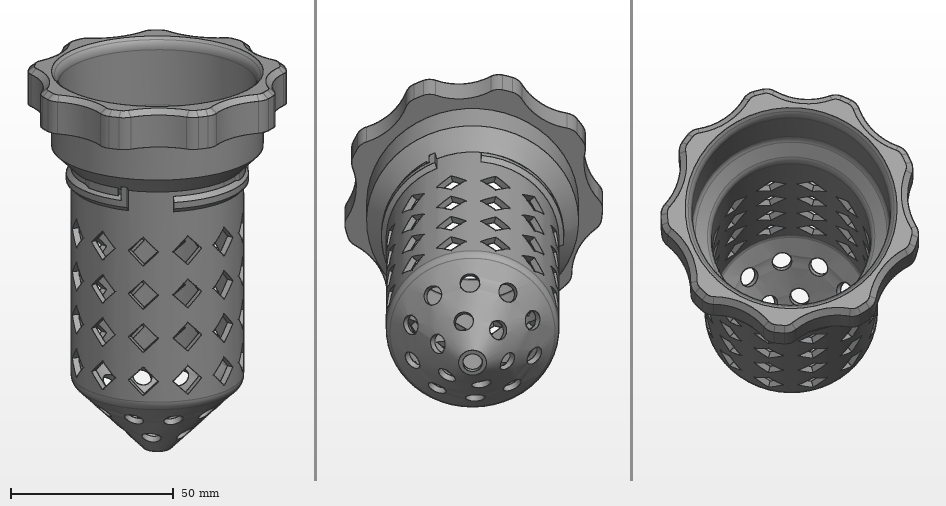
import cadquery as cq
import math

height = 122.3
wall = 2.0

flange_radius = 40.0
flange_depth = 12.0
flange_chamfer_depth = 2.0
flange_chamfer_width = 1.6
lobe_count = 9
first_lobe_angle = 90.0
scallop_radius = 20.0
scallop_floor = 36.0
lobe_rounding = 5.0

neck_radius = 32.5
body_radius = 26.5
neck_bottom = height - 24.0
taper_bottom = neck_bottom - (neck_radius - body_radius)
cone_top = 22.3
tip_radius = body_radius - cone_top
tip_hole_diameter = 6.0
cone_bend = 4.0

neck_bore = 30.5
body_bore = 24.5
bore_taper_top = 99.2
bore_taper_bottom = 93.9
cone_bore_bend = 1.5
body_bore_bend = 3.7
neck_bore_bend = 3.0
mouth_chamfer = neck_radius - neck_bore
mouth_bend = 4.0

lug_count = 3
lug_start = 80.0
lug_sweep = 90.0
lug_radius = 28.0
lug_top = 90.7
lug_height = 5.0
lug_depth = lug_radius - body_radius
stop_sweep = 4.0
bump_radius = 27.0
bump_ramp_start = 53.0
bump_crest_start = 58.5
bump_crest_end = 83.0

diamond_columns = 12
diamond_rows = 4
diamond_side = 6.6
diamond_pitch = 14.0
diamond_top_row = 72.8

cone_hole_diameter = 6.0
cone_hole_rows = [(10, 19.7), (6, 11.1)]


def polar(radius, degrees):
    angle = math.radians(degrees)
    return (radius * math.cos(angle), radius * math.sin(angle))


def around(shape, count, start=0.0):
    """Copies of a shape spaced evenly about Z."""
    return [shape.rotate((0, 0, 0), (0, 0, 1), start + index * 360 / count) for index in range(count)]


def toward(start, end, distance):
    span = math.dist(start, end)
    return tuple(a + (b - a) * distance / span for a, b in zip(start, end))


def turn_angle(before, corner, after):
    heading_in = math.atan2(corner[1] - before[1], corner[0] - before[0])
    heading_out = math.atan2(after[1] - corner[1], after[0] - corner[0])
    return abs(heading_out - heading_in)


def revolved(outline):
    """Revolve a closed (radius, Z) outline about Z; outline items are (radius, Z, rounding)."""
    points = [item[:2] for item in outline]
    path = cq.Workplane("XZ").moveTo(*points[0])
    roundings = [item[2] for item in outline]
    for before, corner, after, rounding in zip(points, points[1:], points[2:] + points[:1], roundings[1:]):
        if rounding == 0:
            path = path.lineTo(*corner)
            continue
        setback = rounding * math.tan(turn_angle(before, corner, after) / 2)
        path = path.lineTo(*toward(corner, before, setback))
        path = path.tangentArcPoint(toward(corner, after, setback), relative=False)
    return path.close().revolve(360, (0, 0, 0), (0, 1, 0))


def make_shell():
    return revolved([
        (0, 0, 0),
        (tip_radius, 0, 0),
        (body_radius, cone_top, cone_bend),
        (body_radius, taper_bottom, 0),
        (neck_radius, neck_bottom, 0),
        (neck_radius, height, 0),
        (0, height, 0),
    ])


def make_cavity():
    cone_apex = cone_top - body_radius + wall * math.sqrt(2)
    return revolved([
        (0, cone_apex, 0),
        (body_bore, cone_apex + body_bore, cone_bore_bend),
        (body_bore, bore_taper_bottom, body_bore_bend),
        (neck_bore, bore_taper_top, neck_bore_bend),
        (neck_bore, height - mouth_chamfer, mouth_bend),
        (neck_bore + mouth_chamfer, height, 0),
        (0, height, 0),
    ])


def make_flange():
    pitch = 360 / lobe_count
    scallop_distance = scallop_floor + scallop_radius
    scallop_center = polar(scallop_distance, first_lobe_angle + pitch / 2)
    scallop = cq.Workplane("XY").center(*scallop_center).circle(scallop_radius).extrude(flange_depth)
    flange = cq.Workplane("XY").circle(flange_radius).extrude(flange_depth)
    for cutter in around(scallop, lobe_count):
        flange = flange.cut(cutter)
    flange = flange.edges("|Z").fillet(lobe_rounding)
    flange = flange.faces(">Z").chamfer(flange_chamfer_depth, flange_chamfer_width)
    return flange.translate((0, 0, height - flange_depth))


def ring_segment(points, start, sweep):
    """Sweep a (radius, Z) outline about Z, counter-clockwise from the start angle."""
    segment = cq.Workplane("XZ").polyline(points).close().revolve(sweep, (0, 0, 0), (0, 1, 0))
    return segment.rotate((0, 0, 0), (0, 0, 1), start)


def make_lug():
    """A bevelled rail with a stop at its far end and a ramped bump above it."""
    inner = body_radius - wall / 2
    lug_bottom = lug_top - lug_height
    rail = ring_segment([
        (inner, lug_top),
        (body_radius, lug_top),
        (lug_radius, lug_top - lug_depth),
        (lug_radius, lug_bottom + lug_depth),
        (body_radius, lug_bottom),
        (inner, lug_bottom),
    ], 0, lug_sweep)
    stop = ring_segment([
        (inner, taper_bottom),
        (body_radius, taper_bottom),
        (lug_radius, taper_bottom + lug_depth),
        (lug_radius, lug_bottom + lug_depth),
        (inner, lug_bottom + lug_depth),
    ], lug_sweep - stop_sweep, stop_sweep)
    bump_outline = [
        polar(inner, bump_ramp_start),
        polar(body_radius, bump_ramp_start),
        polar(bump_radius, bump_crest_start),
    ]
    bump_rise = bump_radius - body_radius
    bump_bottom = lug_top - lug_depth
    bump = (
        cq.Workplane("XY", origin=(0, 0, bump_bottom))
        .polyline(bump_outline)
        .threePointArc(
            polar(bump_radius, (bump_crest_start + bump_crest_end) / 2),
            polar(bump_radius, bump_crest_end),
        )
        .lineTo(*polar(inner, bump_crest_end))
        .close()
        .extrude(taper_bottom + bump_rise - bump_bottom)
    )
    return rail.union(stop).union(bump)


def make_diamond_cutter():
    """One column of windows, cut radially from the axis outward along +X."""
    row_centers = [(0, diamond_top_row - row * diamond_pitch) for row in range(diamond_rows)]
    diamond = cq.Sketch().rect(diamond_side, diamond_side, angle=45)
    return cq.Workplane("YZ").pushPoints(row_centers).placeSketch(diamond).extrude(body_radius + wall)


def make_cone_hole_cutter(axis_radius):
    surface_height = axis_radius - tip_radius
    outward = cq.Vector(1, 0, -1).normalized()
    start = cq.Vector(axis_radius, 0, surface_height) - outward * (2 * wall)
    return cq.Workplane(cq.Solid.makeCylinder(cone_hole_diameter / 2, 3 * wall, start, outward))


def make_tip_hole_cutter():
    return cq.Workplane("XY").circle(tip_hole_diameter / 2).extrude(cone_top)


result = make_shell().union(make_flange())
for lug in around(make_lug(), lug_count, lug_start):
    result = result.union(lug)
result = result.cut(make_cavity())
result = result.cut(make_tip_hole_cutter())
for cutter in around(make_diamond_cutter(), diamond_columns):
    result = result.cut(cutter)
for hole_count, axis_radius in cone_hole_rows:
    for cutter in around(make_cone_hole_cutter(axis_radius), hole_count):
        result = result.cut(cutter)